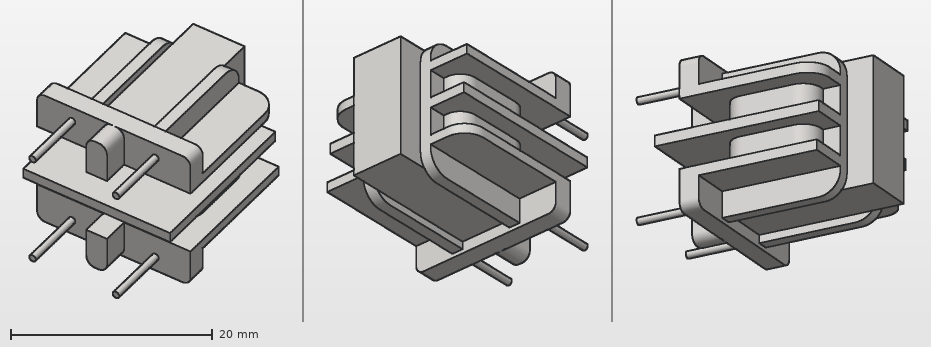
import cadquery as cq


core_back_y = 25.7
flange_back_y = 22.7
winding_back_y = 20.71
winding_front_y = 10.65
rail_back_y = 9.23
rail_front_y = 7.02
standoff_front_y = 3.98
pin_tip_y = 0.0

rail_top_z = 8.25
rib_top_z = 7.75
core_top_z = 6.9
pin_z = 6.48
flange_top_z = 4.9
flange_bottom_z = 3.78
divider_half_thickness = 0.6

body_width = 18.4
divider_width = 17.6
winding_width = 13.75
channel_width = 8.85
core_width = 6.17
standoff_width = 2.5
pin_spacing = 10.0
pin_diameter = 0.8

flange_radius = 2.5
winding_radius = 2.03
standoff_radius = 1.05
rail_radius = 1.0


def block(width, y_front, y_back, z_low, z_high):
    """Box centred on X between the given Y and Z limits."""
    size_y = y_back - y_front
    size_z = z_high - z_low
    return cq.Workplane("XY").box(width, size_y, size_z, centered=(True, False, False)).translate(
        (0, y_front, z_low)
    )


def flange():
    """Upper winding flange with one rounded rear corner."""
    plate = block(body_width, rail_front_y, flange_back_y, flange_bottom_z, flange_top_z)
    return plate.edges("|Z and >X and >Y").fillet(flange_radius)


def core_channel():
    """Pair of ribs beside the core, rounded down at the rear."""
    walls = block(channel_width, rail_front_y, flange_back_y, flange_bottom_z, rib_top_z)
    walls = walls.edges("|X and >Y and >Z").fillet(flange_radius)
    slot = block(core_width, rail_back_y, flange_back_y, flange_bottom_z, rib_top_z)
    return walls.cut(slot)


def pin_rail():
    """Front rail with rounded upper corners."""
    rail = block(body_width, rail_front_y, rail_back_y, flange_bottom_z, rail_top_z)
    return rail.edges("|Y and >Z").fillet(rail_radius)


def standoff():
    """Central foot in front of the rail."""
    foot = block(standoff_width, standoff_front_y, rail_front_y, flange_bottom_z, rail_top_z)
    return foot.edges("|Y and >Z").fillet(standoff_radius)


def pins():
    """Two round terminals that start at the front face of the rail."""
    return (
        cq.Workplane("XZ", origin=(0, rail_front_y, pin_z))
        .pushPoints([(-pin_spacing / 2, 0), (pin_spacing / 2, 0)])
        .circle(pin_diameter / 2)
        .extrude(rail_front_y - pin_tip_y)
    )


def winding():
    """Rounded coil body between the two flanges."""
    coil = block(winding_width, winding_front_y, winding_back_y, -flange_bottom_z, flange_bottom_z)
    return coil.edges("|Z").fillet(winding_radius)


def core():
    """Core around the back of the bobbin, open in front of the winding."""
    body = block(core_width, rail_back_y, core_back_y, -core_top_z, core_top_z)
    window = block(core_width, rail_back_y, winding_front_y, -flange_bottom_z, flange_bottom_z)
    return body.cut(window)


def rear_wall():
    """Wall behind the winding that joins the upper and lower core channels."""
    return block(channel_width, winding_back_y, flange_back_y, -flange_bottom_z, flange_bottom_z)


divider = block(
    divider_width, standoff_front_y, flange_back_y, -divider_half_thickness, divider_half_thickness
)

upper_half = flange().union(core_channel()).union(pin_rail()).union(standoff()).union(pins())
lower_half = upper_half.rotate((0, 0, 0), (0, 1, 0), 180)

result = core().union(winding()).union(rear_wall()).union(divider).union(upper_half).union(lower_half)